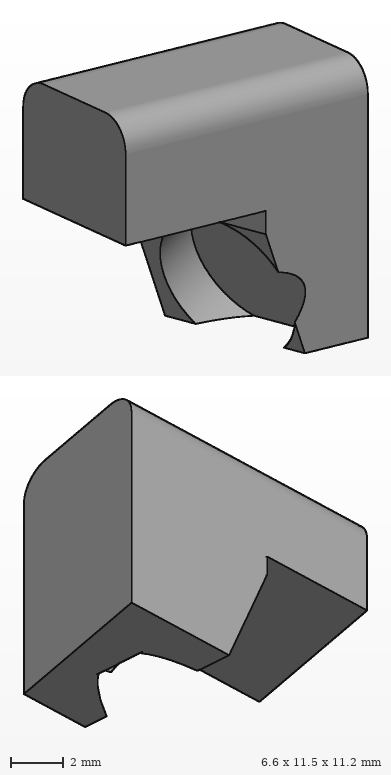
import cadquery as cq
import math

width = 6.6
length = 11.5
height = 11.2
top_edge_radius = 1.31

arm_reach = 4.89
arm_bottom_z = 6.18
slope_top_z = 5.22
slope_foot_y = 6.74
skew_angle = 15.0
cutter_overrun = 11.5

pocket_radius = 3.19
pocket_depth = 2.0
pocket_center_x = 0.43
pocket_center_z = 2.22

skew = math.radians(skew_angle)
slope_run = (slope_foot_y - arm_reach) * math.cos(skew)


def body():
    """Block with both long top edges rounded."""
    block = cq.Workplane().box(width, length, height, centered=(True, False, False))
    return block.faces(">Z").edges("|Y").fillet(top_edge_radius)


def notch():
    """Space under the arm, bounded at the back by the skewed step and slope."""
    skewed_plane = cq.Plane(
        origin=(-width / 2, arm_reach, 0),
        xDir=(-math.sin(skew), math.cos(skew), 0),
        normal=(math.cos(skew), math.sin(skew), 0),
    )
    slope_lean = slope_run / slope_top_z
    return (
        cq.Workplane(skewed_plane)
        .polyline([
            (-cutter_overrun, arm_bottom_z),
            (0, arm_bottom_z),
            (0, slope_top_z),
            (slope_run + slope_lean * cutter_overrun, -cutter_overrun),
            (-cutter_overrun, -cutter_overrun),
        ])
        .close()
        .extrude(width + cutter_overrun, both=True)
    )


def pocket():
    """Cylinder entering the leg square to its sloped face."""
    slope_y_at_minus_x = arm_reach + (slope_foot_y - arm_reach) * (1 - pocket_center_z / slope_top_z)
    center_y = slope_y_at_minus_x + (pocket_center_x + width / 2) * math.tan(skew)
    inward = cq.Vector(-math.sin(skew) * slope_top_z, math.cos(skew) * slope_top_z, slope_run)
    return cq.Solid.makeCylinder(
        pocket_radius, pocket_depth, cq.Vector(pocket_center_x, center_y, pocket_center_z), inward
    )


result = body().cut(notch()).cut(cq.Workplane(obj=pocket()))